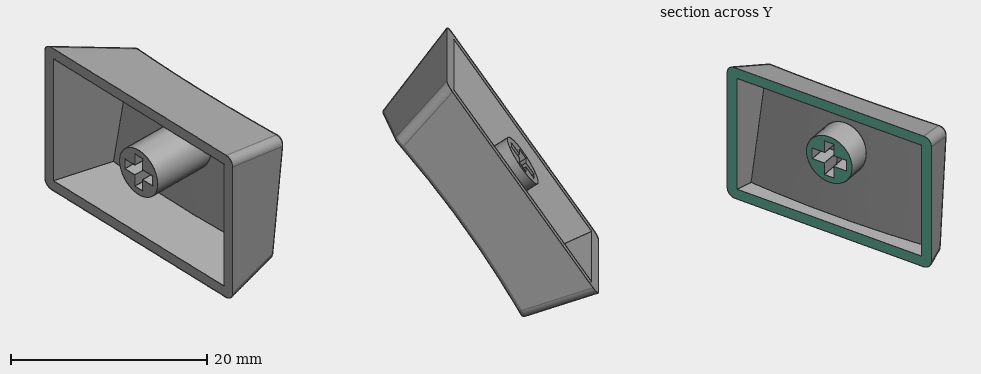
import cadquery as cq
import math

length = 27.6
height = 18.0
wall = 1.27
floor_thickness = 1.13

side_slope = 0.276
top_slope = 0.388

corner_radius = 1.0
dish_edge_radius = 0.28

dish_radius = 124.2
dish_start = 7.2
dish_slope = 0.158
dish_angle = math.atan(dish_slope)

stem_diameter = 5.6
stem_height = height / 2
cross_span = 4.08
cross_bar_height = 1.25
cross_bar_width = 1.13

trim_depth = 12.42


def tapered_block(inset):
    """Block with two tapered sides, a tapered top and a flat bottom, inset from the outer rim."""
    half_length = length / 2 - inset
    half_back = half_length - side_slope * trim_depth
    plan = (
        cq.Workplane("XY")
        .polyline([
            (-half_length, 0),
            (half_length, 0),
            (half_back, trim_depth),
            (-half_back, trim_depth),
        ])
        .close()
        .extrude(height)
    )
    rim_top = height - inset
    profile = (
        cq.Workplane("YZ")
        .polyline([
            (0, inset),
            (0, rim_top),
            (trim_depth, rim_top - top_slope * trim_depth),
            (trim_depth, inset),
        ])
        .close()
        .extrude(length / 2, both=True)
    )
    return plan.intersect(profile)


def dish_cutter(offset):
    """Long cylinder whose surface is the dish, moved inward by offset along the dish normal."""
    axis = cq.Vector(0, math.sin(dish_angle), math.cos(dish_angle))
    normal = cq.Vector(0, math.cos(dish_angle), -math.sin(dish_angle))
    center = cq.Vector(0, dish_start, 0) + normal * dish_radius
    start = center - axis * (2 * height)
    return cq.Workplane(cq.Solid.makeCylinder(dish_radius + offset, 4 * height, start, axis))


def outer_body():
    """Solid cap with rounded corners and a softened dish edge."""
    block = tapered_block(0)
    rounded = block.edges("not(#Y or |X or |Z)").fillet(corner_radius)
    dished = rounded.cut(dish_cutter(0))
    return dished.faces(">Y").edges().fillet(dish_edge_radius)


def cavity():
    """Hollow with constant walls at the rim and a floor that follows the dish."""
    return tapered_block(wall).cut(dish_cutter(floor_thickness))


def stem():
    """Round post from rim level to the floor, with a cross socket along its full depth."""
    stem_plane = cq.Workplane("XZ", origin=(0, 0, stem_height))
    post = stem_plane.circle(stem_diameter / 2).extrude(-trim_depth)
    for width, bar_height in ((cross_span, cross_bar_height), (cross_bar_width, cross_span)):
        post = post.cut(stem_plane.rect(width, bar_height).extrude(-trim_depth))
    return post


result = outer_body().cut(cavity().cut(stem()))